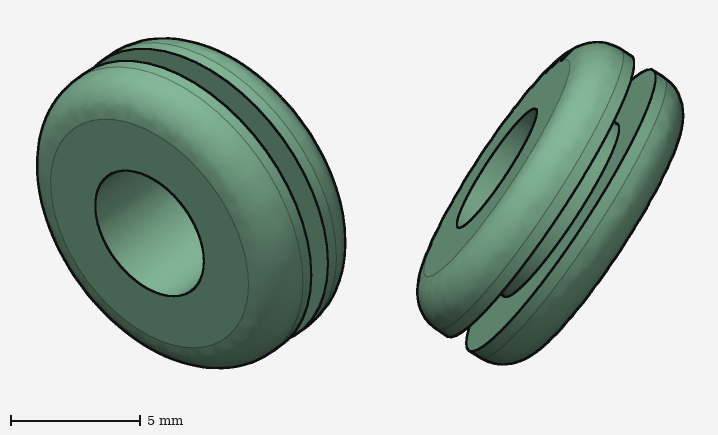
import cadquery as cq

outer_diameter = 13.0
neck_diameter = 8.0
bore_diameter = 5.5
total_width = 5.0
groove_width = 1.0
rim_radius = 1.5

flange_width = (total_width - groove_width) / 2


def cylinder_along_y(diameter, width):
    """Cylinder on the Y axis, centred on the origin."""
    return cq.Workplane("XZ").circle(diameter / 2).extrude(width / 2, both=True)


def flange(side):
    """Flange on the given side (+1 or -1 in Y), with its outer rim rounded."""
    outer_face = ">Y" if side > 0 else "<Y"
    offset = side * (groove_width + flange_width) / 2
    disc = cylinder_along_y(outer_diameter, flange_width)
    return disc.faces(outer_face).edges().fillet(rim_radius).translate((0, offset, 0))


neck = cylinder_along_y(neck_diameter, total_width - flange_width)
bore = cylinder_along_y(bore_diameter, total_width)

result = neck.union(flange(1)).union(flange(-1)).cut(bore)